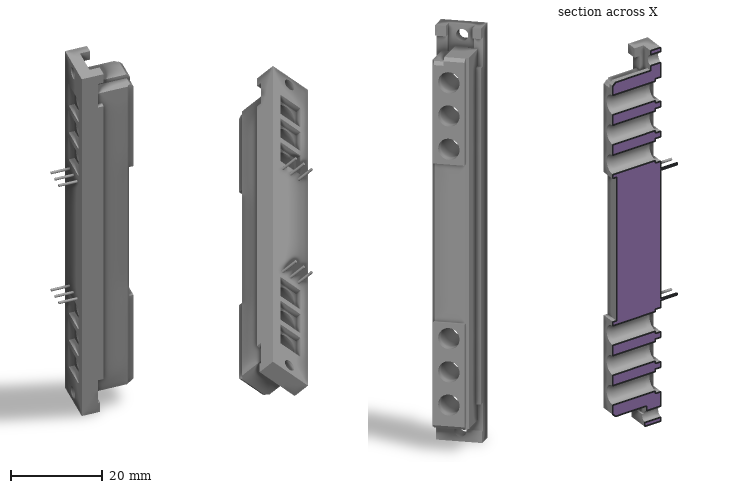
import cadquery as cq

LENGTH = 94.9
BASE_WIDTH = 10.5
BASE_DEPTH = 5.1
TOP_Z = LENGTH / 2

RECESS_FLOOR = 3.8
TOP_FLANGE_HEIGHT = 2.4
BOTTOM_FLANGE_HEIGHT = 2.7
BOTTOM_FLANGE_DEPTH = 4.3
RECESS_TOP_END = 38.4
RECESS_BOTTOM_END = -RECESS_TOP_END
GROOVE_WIDTH = 6.1
GROOVE_X = -0.3
GROOVE_FLOOR = 2.75
GROOVE_END = 39.9

COVER_WIDTH = 8.3
COVER_BACK = 11.8
COVER_TOP = 42.4
COVER_BOTTOM = -COVER_TOP
COVER_CHAMFER = 0.7
TONGUE_LEFT = -1.9
STEP_X = 1.2
STEP_DROP = 1.0

PAD_WIDTH = 7.1
PAD_BACK = 12.7
PAD_LENGTH = 24.3
PAD_CHAMFER = 0.8

OPENING_PITCH = 7.6
OPENING_MIDDLE_Z = 29.2
POCKET_SIDE = 6.1
POCKET_DEPTH = 1.4
OPENING_DIAMETER = 4.8

SCREW_DIAMETER = 2.75
SCREW_Z = 45.0

PIN_DIAMETER = 0.62
OVERALL_DEPTH = 17.1
PIN_LENGTH = OVERALL_DEPTH - PAD_BACK
PIN_PITCH = 2.4
PIN_Z = 16.5


def block(x_range, y_range, z_range):
    """Box given by its two limits along each axis."""
    limits = (x_range, y_range, z_range)
    sizes = [high - low for low, high in limits]
    corner = [low for low, high in limits]
    return cq.Workplane("XY").box(*sizes, centered=False).translate(tuple(corner))


def centred(width):
    """Limits of a span centred on zero."""
    return (-width / 2, width / 2)


def hole(diameter, x, z):
    """Cylinder along Y from the front face to the back of the pads."""
    return (
        cq.Workplane("XZ", origin=(x, 0, z))
        .circle(diameter / 2)
        .extrude(-PAD_BACK)
    )


def make_base():
    """Side profile of the bar, with a groove through the top flange."""
    profile = [
        (0, -TOP_Z),
        (BOTTOM_FLANGE_DEPTH, -TOP_Z),
        (BOTTOM_FLANGE_DEPTH, BOTTOM_FLANGE_HEIGHT - TOP_Z),
        (RECESS_FLOOR, BOTTOM_FLANGE_HEIGHT - TOP_Z),
        (RECESS_FLOOR, RECESS_BOTTOM_END),
        (BASE_DEPTH, RECESS_BOTTOM_END),
        (BASE_DEPTH, RECESS_TOP_END),
        (RECESS_FLOOR, RECESS_TOP_END),
        (RECESS_FLOOR, TOP_Z - TOP_FLANGE_HEIGHT),
        (BASE_DEPTH, TOP_Z - TOP_FLANGE_HEIGHT),
        (BASE_DEPTH, TOP_Z),
        (0, TOP_Z),
    ]
    bar = cq.Workplane("YZ").polyline(profile).close().extrude(BASE_WIDTH / 2, both=True)
    groove = block(centred(GROOVE_WIDTH), (GROOVE_FLOOR, BASE_DEPTH), (GROOVE_END, TOP_Z))
    return bar.cut(groove.translate((GROOVE_X, 0, 0)))


def make_pad(direction):
    """Raised pad at the top (+1) or bottom (-1) end, chamfered at its outer edge."""
    pad = block(centred(PAD_WIDTH), (RECESS_FLOOR, PAD_BACK), (COVER_TOP - PAD_LENGTH, COVER_TOP))
    pad = pad.edges(">Y and >Z").chamfer(PAD_CHAMFER)
    return pad if direction > 0 else pad.mirror("XY")


def make_cover():
    """Chamfered cover with its tongue and pads, its top end stepped down on the right."""
    cover = block(centred(COVER_WIDTH), (RECESS_FLOOR, COVER_BACK), (COVER_BOTTOM, COVER_TOP))
    cover = cover.edges("|Z and >Y").chamfer(COVER_CHAMFER)
    for direction in (1, -1):
        cover = cover.union(make_pad(direction))
    tongue = block((TONGUE_LEFT, STEP_X), (GROOVE_FLOOR, RECESS_FLOOR), (GROOVE_END, COVER_TOP))
    cover = cover.union(tongue)
    corner_zone = block((STEP_X, COVER_WIDTH), (0, PAD_BACK), (GROOVE_END, TOP_Z))
    lowered_corner = cover.intersect(corner_zone).translate((0, 0, -STEP_DROP))
    return cover.cut(corner_zone).union(lowered_corner)


def cut_openings(body):
    """Three openings near each end."""
    for direction in (1, -1):
        for index in (-1, 0, 1):
            z = direction * OPENING_MIDDLE_Z + index * OPENING_PITCH
            half = POCKET_SIDE / 2
            pocket = block((-half, half), (0, POCKET_DEPTH), (z - half, z + half))
            body = body.cut(pocket).cut(hole(OPENING_DIAMETER, 0, z))
    return body


def cut_screw_holes(body):
    """One through hole at each end of the bar."""
    for direction in (1, -1):
        body = body.cut(hole(SCREW_DIAMETER, GROOVE_X, direction * SCREW_Z))
    return body


def add_pins(body):
    """A row of three pins next to each group of openings."""
    for direction in (1, -1):
        for index in (-1, 0, 1):
            pin = (
                cq.Workplane("XZ", origin=(index * PIN_PITCH, GROOVE_FLOOR, direction * PIN_Z))
                .circle(PIN_DIAMETER / 2)
                .extrude(GROOVE_FLOOR + PIN_LENGTH)
            )
            body = body.union(pin)
    return body


result = make_base().union(make_cover())
result = cut_openings(result)
result = cut_screw_holes(result)
result = add_pins(result)